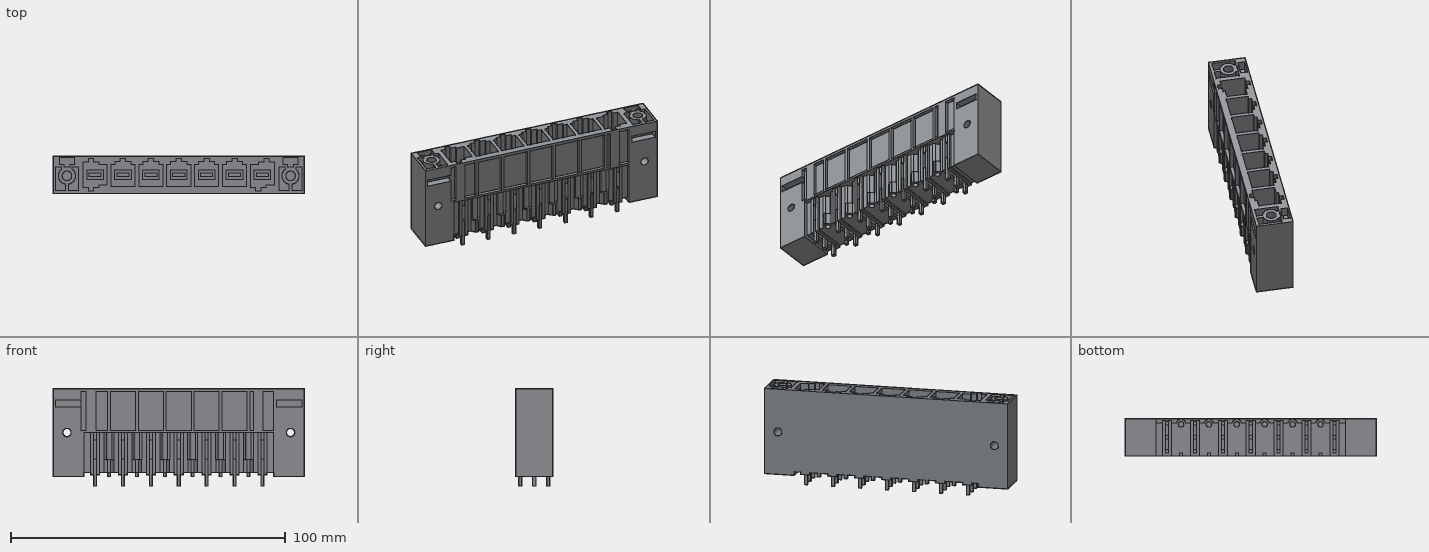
import cadquery as cq

LENGTH = 91.4
WIDTH = 13.6
HEIGHT = 35.5

PITCH = 10.15
POLE_COUNT = 7

BLOCK_BOTTOM = 3.5
GUIDE_BOTTOM = 4.0
SKIRT_BOTTOM = 4.85
POST_TOP = 9.6
CROSSBAR_TOP = 9.9
SLOT_TOP = 16.7
LIP_BOTTOM = 19.5
PANEL_BOTTOM = 20.3
PANEL_TOP = 34.4
CAVITY_FLOOR = 20.3

BLOCK_LENGTH = 11.2
FLANGE_X = 40.7
BOSS_Y = -0.4
BOSS_RADIUS = 3.1
SCREW_RADIUS = 1.7
SCREW_DEPTH = 9.1
CROSS_HOLE_RADIUS = 1.5
CROSS_HOLE_Z = 19.5
FLANGE_POCKET_DEPTH = 3.7
FLANGE_POCKET_HALF = 4.1
FLANGE_POCKET_FRONT = -5.7
FLANGE_POCKET_REAR = 2.9
BOSS_RIB = 1.1
NECK_WIDTH = 3.8
TEE_STEM_WIDTH = 2.2
TEE_BAR_WIDTH = 5.6
TEE_SHOULDER_Y = 3.75
TEE_REAR_Y = 6.2
LABEL_LENGTH = 9.2
LABEL_HEIGHT = 2.6
LABEL_BOTTOM = 28.8
LABEL_DEPTH = 2.7
LABEL_EDGE = 0.8

CAVITY_HALF = 4.4
CAVITY_FRONT_Y = -4.3
SHOULDER_Y = 3.8
STEP_Y = 4.85
STEP_HALF = 2.9
KEY_Y = 5.9
KEY_HALF = 1.0
END_KEY_NEAR = 0.55
END_KEY_FAR = 2.5
END_STEP_X = 1.4
END_STEP_Y = 4.6
END_SHOULDER_Y = 3.75
PEDESTAL_LENGTH = 6.0
PEDESTAL_WIDTH = 3.6
PEDESTAL_HEIGHT = 0.9

PANEL_WIDTH = 9.1
PANEL_DEPTH = 1.3
KEY_WALL = 0.8

SKIRT_DEPTH = 1.6
GUIDE_WIDTH = 3.3
GUIDE_SETBACK = 0.6
GUIDE_GROOVE_DEPTH = 0.3
POST_RADIUS = 1.8
POST_SETBACK = 2.1
POST_RIB = 1.1
BORE_RADIUS = 1.0
STUD_DEPTH = 1.1

LEG_WIDTH = 1.1
LEG_DEPTH = 1.2
LEG_SPACING = 5.1
BLADE_LENGTH = 4.4
BLADE_THICKNESS = 1.4
BLADE_TOP = 29.1
CROSSBAR_HEIGHT = 1.8

FRONT = -WIDTH / 2
REAR = WIDTH / 2
SKIRT_HALF = LENGTH / 2 - BLOCK_LENGTH
LABEL_END = -LENGTH / 2 + LABEL_EDGE + LABEL_LENGTH
SKIRT_Y = FRONT + SKIRT_DEPTH
POST_Y = FRONT + POST_SETBACK
POLE_X = [(i - (POLE_COUNT - 1) / 2) * PITCH for i in range(POLE_COUNT)]
FIRST_POLE = POLE_X[0]
LAST_POLE = POLE_X[-1]
GAP_X = [x + PITCH / 2 for x in POLE_X[:-1]]
LEGS_FRONT = -LEG_SPACING - LEG_DEPTH / 2
LEGS_REAR = LEG_SPACING + LEG_DEPTH / 2


def block(x0, x1, y0, y1, z0, z1):
    """Box between two opposite corners."""
    return cq.Workplane("XY").box(x1 - x0, y1 - y0, z1 - z0, centered=False).translate((x0, y0, z0))


def bar(x, width, y0, y1, z0, z1):
    """Box centred on x."""
    return block(x - width / 2, x + width / 2, y0, y1, z0, z1)


def prism(points, z0, z1):
    """Upright prism over a closed outline."""
    return cq.Workplane("XY").workplane(offset=z0).polyline(points).close().extrude(z1 - z0)


def cylinder(x, y, radius, z0, z1):
    return cq.Workplane("XY").workplane(offset=z0).center(x, y).circle(radius).extrude(z1 - z0)


def housing_body():
    """End blocks joined by the flush upper body and the set-back skirt."""
    body = block(-LENGTH / 2, LENGTH / 2, FRONT, REAR, BLOCK_BOTTOM, HEIGHT)
    body = body.cut(block(-SKIRT_HALF, SKIRT_HALF, FRONT, REAR, BLOCK_BOTTOM, SKIRT_BOTTOM))
    return body.cut(block(-SKIRT_HALF, SKIRT_HALF, FRONT, SKIRT_Y, SKIRT_BOTTOM, LIP_BOTTOM))


def inner_cavity(x):
    """Cavity with a stepped rear wall and one central key."""
    half = [
        (CAVITY_HALF, CAVITY_FRONT_Y),
        (CAVITY_HALF, SHOULDER_Y),
        (STEP_HALF, SHOULDER_Y),
        (STEP_HALF, STEP_Y),
        (KEY_HALF, STEP_Y),
        (KEY_HALF, KEY_Y),
    ]
    outline = half + [(-px, y) for px, y in reversed(half)]
    return prism([(x + px, y) for px, y in outline], CAVITY_FLOOR, HEIGHT)


def end_cavity(x, rear_side):
    """Cavity with offset keys; rear_side is 1, or -1 to mirror the rear wall."""
    front = [
        (-CAVITY_HALF, -END_STEP_Y),
        (-END_KEY_FAR, -END_STEP_Y),
        (-END_KEY_FAR, -KEY_Y),
        (-END_KEY_NEAR, -KEY_Y),
        (-END_KEY_NEAR, -END_STEP_Y),
        (END_STEP_X, -END_STEP_Y),
        (END_STEP_X, -END_SHOULDER_Y),
        (CAVITY_HALF, -END_SHOULDER_Y),
    ]
    rear = [(rear_side * px, -y) for px, y in front]
    if rear_side > 0:
        rear.reverse()
    return prism([(x + px, y) for px, y in front + rear], CAVITY_FLOOR, HEIGHT)


def pedestal(x):
    """Raised collar round a contact blade on the cavity floor."""
    return bar(x, PEDESTAL_LENGTH, -PEDESTAL_WIDTH / 2, PEDESTAL_WIDTH / 2,
               CAVITY_FLOOR, CAVITY_FLOOR + PEDESTAL_HEIGHT)


def panel(x0, x1):
    """Recess in the front face."""
    return block(x0, x1, FRONT, FRONT + PANEL_DEPTH, PANEL_BOTTOM, PANEL_TOP)


def end_panels(x, x0, x1):
    """Recesses on both sides of the front coding key of an end pole, the left one narrow."""
    narrow = panel(x0, x - END_KEY_FAR - KEY_WALL)
    return narrow.union(panel(x - END_KEY_NEAR + KEY_WALL, x1))


def flange_pocket(x):
    """Pocket round the screw boss, with a T-shaped nut pocket behind it."""
    floor = HEIGHT - FLANGE_POCKET_DEPTH
    pocket = bar(x, 2 * FLANGE_POCKET_HALF, FLANGE_POCKET_FRONT, FLANGE_POCKET_REAR, floor, HEIGHT)
    pocket = pocket.cut(cylinder(x, BOSS_Y, BOSS_RADIUS, floor, HEIGHT))
    pocket = pocket.cut(bar(x, BOSS_RIB, FLANGE_POCKET_FRONT, BOSS_Y, floor, HEIGHT))
    pocket = pocket.cut(bar(x, NECK_WIDTH, BOSS_Y, FLANGE_POCKET_REAR, floor, HEIGHT))
    tee = bar(x, TEE_BAR_WIDTH, TEE_SHOULDER_Y, TEE_REAR_Y, floor, HEIGHT)
    tee = tee.union(bar(x, TEE_STEM_WIDTH, FLANGE_POCKET_REAR, TEE_SHOULDER_Y, floor, HEIGHT))
    return pocket.union(tee)


def screw_hole(x):
    return cylinder(x, BOSS_Y, SCREW_RADIUS, HEIGHT - SCREW_DEPTH, HEIGHT)


def cross_hole(x):
    """Hole through an end block from front to rear."""
    return (cq.Workplane("XZ", origin=(0, REAR, 0)).center(x, CROSS_HOLE_Z)
            .circle(CROSS_HOLE_RADIUS).extrude(WIDTH))


def label_slot(x0):
    return block(x0, x0 + LABEL_LENGTH, FRONT, FRONT + LABEL_DEPTH,
                 LABEL_BOTTOM, LABEL_BOTTOM + LABEL_HEIGHT)


def contact_guide(x):
    """Strip down the front of the skirt, continued as a foot under it, that carries a contact."""
    strip = bar(x, GUIDE_WIDTH, FRONT + GUIDE_SETBACK, SKIRT_Y, GUIDE_BOTTOM, LIP_BOTTOM)
    return strip.union(bar(x, GUIDE_WIDTH, SKIRT_Y, REAR, GUIDE_BOTTOM, SKIRT_BOTTOM))


def contact_slot(x):
    """Slot for the legs and crossbar, a shallow groove above it and the blade opening."""
    slot = bar(x, LEG_WIDTH, FRONT, LEGS_REAR, GUIDE_BOTTOM, SLOT_TOP)
    groove = bar(x, LEG_WIDTH, FRONT, FRONT + GUIDE_SETBACK + GUIDE_GROOVE_DEPTH, SLOT_TOP, LIP_BOTTOM)
    return slot.union(groove).union(blade(x))


def post(x):
    """Half-round post with a front rib."""
    rounded = cylinder(x, POST_Y, POST_RADIUS, SKIRT_BOTTOM, POST_TOP)
    return rounded.union(bar(x, POST_RIB, FRONT, POST_Y, SKIRT_BOTTOM, POST_TOP))


def post_bore(x):
    """Bore down the post, opened towards the front by a groove with sloping sides above the post."""
    sides = [
        (x - POST_RADIUS, SKIRT_Y),
        (x - BORE_RADIUS, POST_Y),
        (x + BORE_RADIUS, POST_Y),
        (x + POST_RADIUS, SKIRT_Y),
    ]
    bore = cylinder(x, POST_Y, BORE_RADIUS, SKIRT_BOTTOM, LIP_BOTTOM)
    return bore.union(prism(sides, POST_TOP, LIP_BOTTOM))


def stud(x):
    """Short stud under the rear edge."""
    return bar(x, POST_RIB, REAR - STUD_DEPTH, REAR, BLOCK_BOTTOM, SKIRT_BOTTOM)


def make_housing():
    housing = housing_body()
    for x in POLE_X[1:-1]:
        housing = housing.cut(inner_cavity(x)).cut(panel(x - PANEL_WIDTH / 2, x + PANEL_WIDTH / 2))
    housing = housing.cut(end_cavity(FIRST_POLE, 1)).cut(end_cavity(LAST_POLE, -1))
    housing = housing.cut(end_panels(FIRST_POLE, LABEL_END, FIRST_POLE + PANEL_WIDTH / 2))
    housing = housing.cut(end_panels(LAST_POLE, LAST_POLE - PANEL_WIDTH / 2, SKIRT_HALF))
    for x in GAP_X:
        housing = housing.union(post(x)).cut(post_bore(x)).union(stud(x))
    for x in POLE_X:
        housing = housing.union(contact_guide(x)).union(pedestal(x)).cut(contact_slot(x))
    for x in (-FLANGE_X, FLANGE_X):
        housing = housing.cut(flange_pocket(x)).cut(screw_hole(x)).cut(cross_hole(x))
    for x0 in (LABEL_END - LABEL_LENGTH, -LABEL_END):
        housing = housing.cut(label_slot(x0))
    return housing


def blade(x):
    return bar(x, BLADE_LENGTH, -BLADE_THICKNESS / 2, BLADE_THICKNESS / 2, SLOT_TOP, BLADE_TOP)


def make_contact(x):
    """Flat blade on a stem, with a crossbar that joins the middle leg to the outer legs."""
    stem = bar(x, LEG_WIDTH, -BLADE_THICKNESS / 2, BLADE_THICKNESS / 2, 0, SLOT_TOP)
    crossbar = bar(x, LEG_WIDTH, LEGS_FRONT, LEGS_REAR, CROSSBAR_TOP - CROSSBAR_HEIGHT, CROSSBAR_TOP)
    contact = blade(x).union(stem).union(crossbar)
    for y in (-LEG_SPACING, LEG_SPACING):
        contact = contact.union(bar(x, LEG_WIDTH, y - LEG_DEPTH / 2, y + LEG_DEPTH / 2, 0, CROSSBAR_TOP))
    return contact


housing = make_housing()
contacts = [make_contact(x) for x in POLE_X]
result = cq.Compound.makeCompound([housing.val(), *[contact.val() for contact in contacts]])